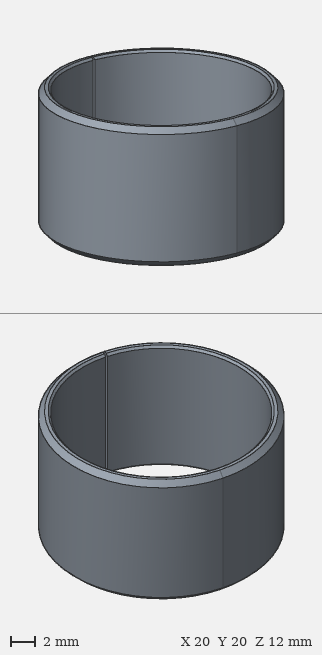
import cadquery as cq

outer_diameter = 20.0
wall = 1.0
length = 12.0
outer_chamfer = 0.5
inner_chamfer = 0.2
slit_width = 0.15

outer_radius = outer_diameter / 2
inner_radius = outer_radius - wall


def chamfered_ring():
    """Revolve the wall section, chamfered at all four corners, about Z."""
    profile = (
        cq.Workplane("XZ")
        .moveTo(inner_radius, inner_chamfer)
        .lineTo(inner_radius + inner_chamfer, 0)
        .lineTo(outer_radius - outer_chamfer, 0)
        .lineTo(outer_radius, outer_chamfer)
        .lineTo(outer_radius, length - outer_chamfer)
        .lineTo(outer_radius - outer_chamfer, length)
        .lineTo(inner_radius + inner_chamfer, length)
        .lineTo(inner_radius, length - inner_chamfer)
        .close()
    )
    return profile.revolve(360, (0, 0, 0), (0, 1, 0))


def slit():
    """Thin radial cutter through the wall on the -X side, with one face on the Y = 0 plane."""
    return cq.Workplane("XY").box(
        outer_diameter, slit_width, length, centered=(True, False, False)
    ).translate((-outer_radius, 0, 0))


result = chamfered_ring().cut(slit())